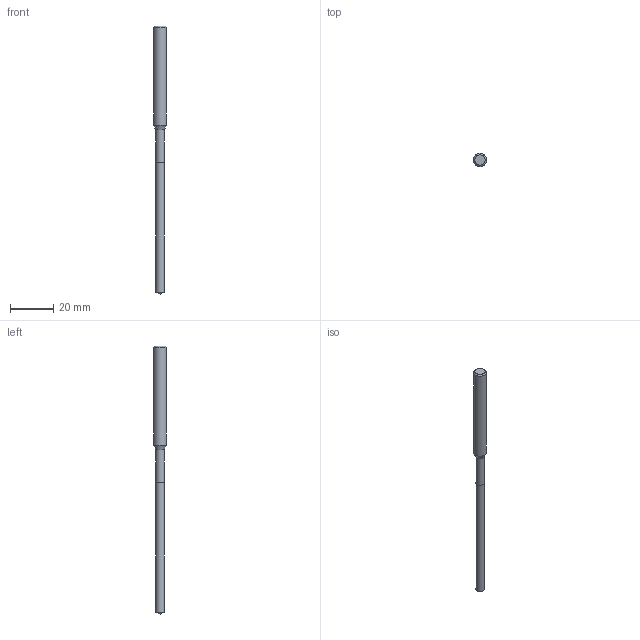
import cadquery as cq
import math

cut_diameter = 4.0
point_angle = 140.0
shank_diameter = 6.0
length_above_point = 123.0
cutting_length = 60.0
shank_length = 45.75
taper_length = 2.15
end_chamfer = 0.6

cut_radius = cut_diameter / 2
shank_radius = shank_diameter / 2
point_height = cut_radius / math.tan(math.radians(point_angle / 2))
cutting_top = point_height + cutting_length
shank_top = point_height + length_above_point
shank_bottom = shank_top - shank_length
neck_top = shank_bottom - taper_length


def revolve_about_z(outline):
    """Turn a closed (radius, height) outline into a solid around the Z axis."""
    return cq.Workplane("XZ").polyline(outline).close().revolve(360, (0, 0), (0, 1))


def make_cutting_part():
    """Cylindrical cutting envelope with a conical point."""
    return revolve_about_z([
        (0, 0),
        (cut_radius, point_height),
        (cut_radius, cutting_top),
        (0, cutting_top),
    ])


def make_shank():
    """Neck, taper and chamfered clamping shank above the cutting part."""
    return revolve_about_z([
        (0, cutting_top),
        (cut_radius, cutting_top),
        (cut_radius, neck_top),
        (shank_radius, shank_bottom),
        (shank_radius, shank_top - end_chamfer),
        (shank_radius - end_chamfer, shank_top),
        (0, shank_top),
    ])


cutting_part = make_cutting_part()
shank = make_shank()

result = cq.Compound.makeCompound([cutting_part.val(), shank.val()])